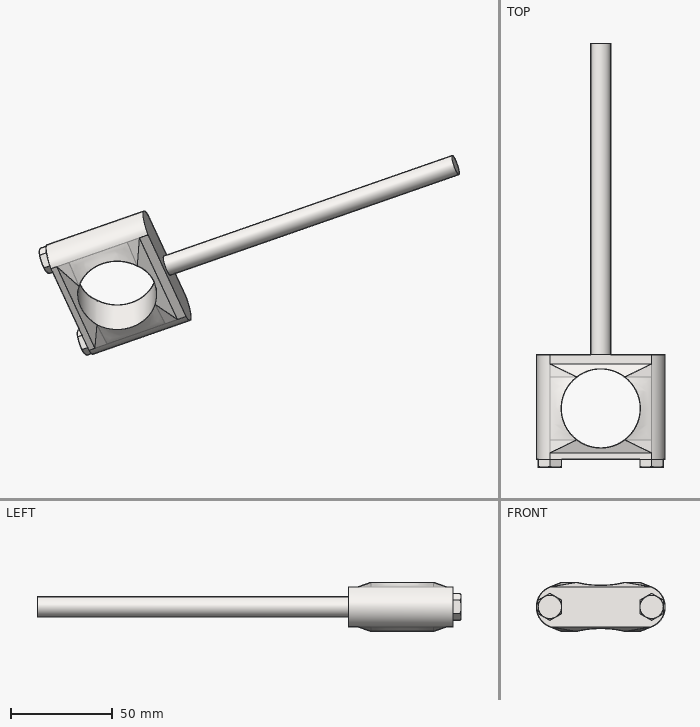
import cadquery as cq
import math

total_length = 207.8

body_width = 63.2
body_height = 19.5
body_front = 25.0
body_back = 26.4
bolt_offset = 25.0
bore_radius = 19.3

pad_top = 12.0
pad_base_half_y = 21.8
pad_top_half_y = 15.4

rod_diameter = 10.0
head_flats = 11.5
head_height = 4.0
head_sides = 6
head_bevel_angle = math.radians(30)

half_height = body_height / 2
rim_x = math.sqrt(bore_radius**2 - pad_top_half_y**2)


def make_body():
    """Flat bar with arched long sides, running along Y."""
    profile = (
        cq.Workplane("XZ", origin=(0, -body_front, 0))
        .moveTo(-bolt_offset, -half_height)
        .lineTo(bolt_offset, -half_height)
        .threePointArc((body_width / 2, 0), (bolt_offset, half_height))
        .lineTo(-bolt_offset, half_height)
        .threePointArc((-body_width / 2, 0), (-bolt_offset, -half_height))
        .close()
    )
    return profile.extrude(-(body_front + body_back))


def make_hip():
    """Hipped pad whose top corners lie on the bore rim."""
    return (
        cq.Workplane("XY", origin=(0, 0, half_height))
        .rect(2 * bolt_offset, 2 * pad_base_half_y)
        .workplane(offset=pad_top - half_height)
        .rect(2 * rim_x, 2 * pad_top_half_y)
        .loft(ruled=True)
    )


def make_side_slope():
    """Ruled slope from the straight +X pad edge up to the arc of the bore rim."""
    outer_low = cq.Vector(bolt_offset, -pad_top_half_y, half_height)
    outer_high = cq.Vector(bolt_offset, pad_top_half_y, half_height)
    inner_low = cq.Vector(rim_x, -pad_top_half_y, half_height)
    inner_high = cq.Vector(rim_x, pad_top_half_y, half_height)
    rim_low = cq.Vector(rim_x, -pad_top_half_y, pad_top)
    rim_high = cq.Vector(rim_x, pad_top_half_y, pad_top)
    rim_middle = cq.Vector(bore_radius, 0, pad_top)

    outer_edge = cq.Edge.makeLine(outer_low, outer_high)
    rim_arc = cq.Edge.makeThreePointArc(rim_low, rim_middle, rim_high)
    rim_chord = cq.Edge.makeLine(rim_high, rim_low)

    def flat_face(*corners):
        return cq.Face.makeFromWires(cq.Wire.makePolygon(corners, close=True))

    faces = [
        cq.Face.makeRuledSurface(outer_edge, rim_arc),
        cq.Face.makeFromWires(cq.Wire.assembleEdges([rim_arc, rim_chord])),
        flat_face(inner_low, inner_high, rim_high, rim_low),
        flat_face(inner_low, outer_low, outer_high, inner_high),
        flat_face(inner_low, outer_low, rim_low),
        flat_face(inner_high, outer_high, rim_high),
    ]
    slope = cq.Solid.makeSolid(cq.Shell.makeShell(faces))
    return cq.Workplane(slope.fix())


def make_pad():
    slope = make_side_slope()
    return make_hip().union(slope).union(slope.mirror("YZ"))


def make_rod():
    rod_length = total_length - head_height - body_front - body_back
    return (
        cq.Workplane("XZ", origin=(0, body_back, 0))
        .circle(rod_diameter / 2)
        .extrude(-rod_length)
    )


def make_bolt_head(x):
    """Hexagon head with a corner pointing up and a round bevelled face."""
    face_radius = head_flats / 2
    corner_radius = face_radius / math.cos(math.pi / head_sides)
    bevel_depth = (corner_radius - face_radius) * math.tan(head_bevel_angle)
    head_center = (x, -body_front, 0)
    hexagon = (
        cq.Workplane(cq.Plane(head_center, xDir=(0, 0, 1), normal=(0, -1, 0)))
        .polygon(head_sides, 2 * corner_radius)
        .extrude(head_height)
    )
    bevelled_round = (
        cq.Workplane("XZ", origin=head_center)
        .circle(corner_radius)
        .extrude(head_height)
        .faces("<Y")
        .chamfer(bevel_depth, corner_radius - face_radius)
    )
    return hexagon.intersect(bevelled_round)


pad = make_pad()
bore = cq.Workplane("XY").circle(bore_radius).extrude(pad_top, both=True)

result = make_body().union(pad).union(pad.mirror("XY")).cut(bore)
result = result.union(make_rod())
for bolt_x in (-bolt_offset, bolt_offset):
    result = result.union(make_bolt_head(bolt_x))